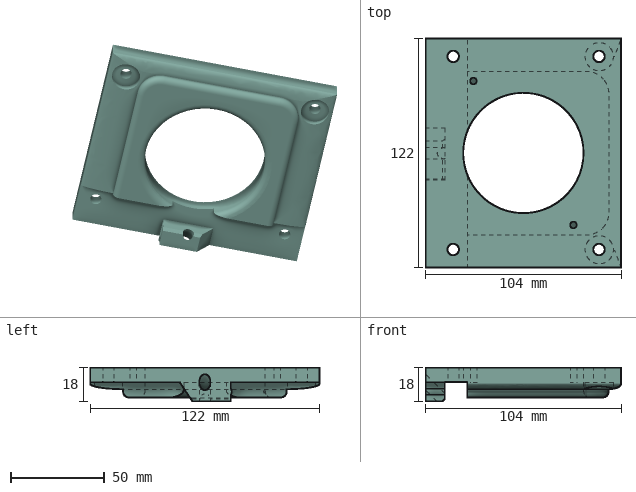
import cadquery as cq
import math

plate_length = 104.0
plate_width = 122.0
plate_thickness = 7.8

bore_diameter = 63.9
bore_x = plate_length / 2
screw_diameter = 6.0
screw_head_diameter = 15.0
screw_spacing_x = 77.6
screw_right_x = 92.2
screw_left_x = screw_right_x - screw_spacing_x
screw_y = 51.4
pin_diameter = 3.5
pin_offset_x = 26.6
pin_offset_y = 38.3

lower_left_x = 22.1
flange_depth = 3.8
flange_edge_height = 0.9
pad_right_x = 97.4
pad_width = 87.1
pad_depth = 8.2
pad_corner_radius = 12.1
pad_round = 3.2
mouth_round = 3.7

tab_length = 10.2
tab_depth = 10.2
tab_top_y = 13.4
tab_bottom_y = 6.6
tab_side_y = -13.8
tab_chamfer = 1.5
bead_top_z = -3.4
bead_bottom_z = -6.7
bead_height = 0.5
tab_hole_angle = 45


def make_plate():
    return cq.Workplane("XY").box(
        plate_length, plate_width, plate_thickness, centered=(False, True, False)
    )


def make_flange():
    """Slab under the plate whose outer sides curve in as quarter ellipses."""
    half_width = plate_width / 2
    curve_height = flange_depth - flange_edge_height
    curve_length_x = plate_length - pad_right_x
    curve_length_y = (plate_width - pad_width) / 2
    across = (
        cq.Workplane("YZ", origin=(lower_left_x, 0, 0))
        .moveTo(-half_width, 0)
        .lineTo(-half_width, -flange_edge_height)
        .ellipseArc(curve_length_y, curve_height, 180, 270, sense=1)
        .lineTo(pad_width / 2, -flange_depth)
        .ellipseArc(curve_length_y, curve_height, 270, 360, sense=1)
        .lineTo(half_width, 0)
        .close()
        .extrude(plate_length - lower_left_x)
    )
    along = (
        cq.Workplane("XZ", origin=(0, half_width, 0))
        .moveTo(lower_left_x, 0)
        .lineTo(lower_left_x, -flange_depth)
        .lineTo(pad_right_x, -flange_depth)
        .ellipseArc(curve_length_x, curve_height, 270, 360, sense=1)
        .lineTo(plate_length, 0)
        .close()
        .extrude(plate_width)
    )
    return across.intersect(along)


def make_pad():
    """Raised pad with two rounded corners; its rim is rounded."""
    pad = (
        cq.Workplane("XY")
        .box(pad_right_x - lower_left_x, pad_width, pad_depth, centered=(False, True, False))
        .translate((lower_left_x, 0, -pad_depth))
        .edges("|Z and >X")
        .fillet(pad_corner_radius)
    )
    rim = pad.faces("<Z").edges("not <X")
    return rim.fillet(pad_round)


def make_tab():
    """Tab with one sloping side and a shallow rounded bead along the other."""
    bead_middle = (tab_side_y - bead_height, (bead_top_z + bead_bottom_z) / 2)
    tab = (
        cq.Workplane("YZ")
        .moveTo(tab_top_y, 0)
        .lineTo(tab_bottom_y, -tab_depth)
        .lineTo(tab_side_y, -tab_depth)
        .lineTo(tab_side_y, bead_bottom_z)
        .threePointArc(bead_middle, (tab_side_y, bead_top_z))
        .lineTo(tab_side_y, 0)
        .close()
        .extrude(tab_length)
    )
    return tab.faces("<Z").edges(">X").chamfer(tab_chamfer)


def make_bore():
    """Cylinder that flares at the bottom of the pad through a quarter round."""
    radius = bore_diameter / 2
    mouth_top_z = mouth_round - pad_depth
    diagonal = mouth_round * math.sqrt(0.5)
    arc_middle = (radius + mouth_round - diagonal, mouth_top_z - diagonal)
    return (
        cq.Workplane("XZ")
        .moveTo(0, plate_thickness)
        .lineTo(radius, plate_thickness)
        .lineTo(radius, mouth_top_z)
        .threePointArc(arc_middle, (radius + mouth_round, -pad_depth))
        .lineTo(0, -pad_depth)
        .close()
        .revolve(360, (0, 0), (0, 1))
        .translate((bore_x, 0, 0))
    )


def holes_down(points, diameter, top_z, depth):
    return (
        cq.Workplane("XY", origin=(0, 0, top_z))
        .pushPoints(points)
        .circle(diameter / 2)
        .extrude(-depth)
    )


def make_tab_hole():
    """Hole entering the left side at the plate underside and sloping down.

    The cutter overshoots both ends of the tab by the hole diameter.
    """
    angle = math.radians(tab_hole_angle)
    direction = cq.Vector(math.cos(angle), 0, -math.sin(angle))
    outside = screw_diameter
    start = direction * -outside
    length = tab_length / math.cos(angle) + 2 * outside
    hole = cq.Solid.makeCylinder(screw_diameter / 2, length, start, direction)
    return cq.Workplane("XY").add(hole)


screw_points = [(x, y) for x in (screw_left_x, screw_right_x) for y in (-screw_y, screw_y)]
head_points = [(screw_right_x, y) for y in (-screw_y, screw_y)]
screw_depth = plate_thickness + flange_depth
pin_points = [(bore_x + side * pin_offset_x, -side * pin_offset_y) for side in (-1, 1)]

result = make_plate().union(make_flange()).union(make_pad()).union(make_tab())

result = result.cut(make_bore())
result = result.cut(holes_down(screw_points, screw_diameter, plate_thickness, screw_depth))
result = result.cut(holes_down(head_points, screw_head_diameter, 0, flange_depth))
result = result.cut(holes_down(pin_points, pin_diameter, plate_thickness, plate_thickness))
result = result.cut(make_tab_hole())